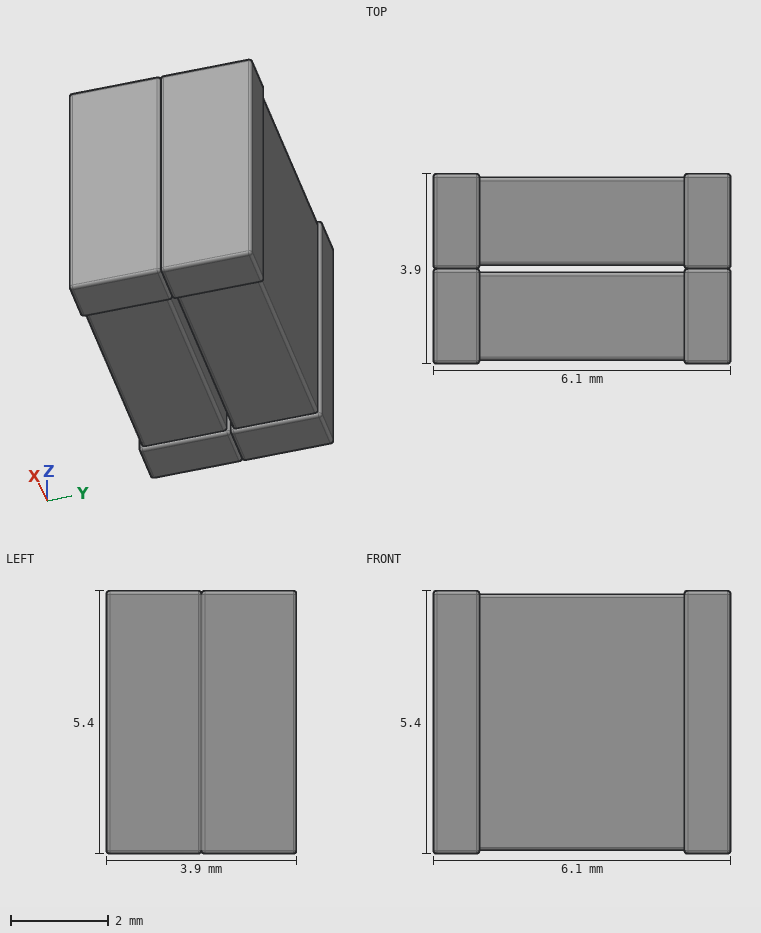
import cadquery as cq


length = 6.1
depth = 3.9
height = 5.4

chip_count = 2
terminal_length = 0.95
terminal_step = 0.07
edge_radius = 0.07

chip_depth = depth / chip_count
body_length = length - 2 * terminal_length
body_depth = chip_depth - 2 * terminal_step
body_height = height - 2 * terminal_step
terminal_offset = (length - terminal_length) / 2
chip_centers = [(i - (chip_count - 1) / 2) * chip_depth for i in range(chip_count)]


def make_ceramic_body(y_center):
    """Ceramic block between the terminals, rounded along its long edges."""
    block = cq.Workplane("XY").box(body_length, body_depth, body_height)
    return block.edges("|X").fillet(edge_radius).translate((0, y_center, 0)).solids()


def make_terminal(x_center):
    """End terminal: one rounded cap per chip, joined flat face to flat face.

    The rounded edges leave a shallow groove around the terminal between the caps.
    """
    cap = cq.Workplane("XY").box(terminal_length, chip_depth, height)
    cap = cap.edges().fillet(edge_radius)
    terminal = cq.Workplane("XY")
    for y_center in chip_centers:
        terminal = terminal.union(cap.translate((x_center, y_center, 0)))
    return terminal.solids()


ceramic_bodies = [make_ceramic_body(y_center) for y_center in chip_centers]
terminals = [make_terminal(side * terminal_offset) for side in (-1, 1)]

result = cq.Compound.makeCompound([part.val() for part in ceramic_bodies + terminals])